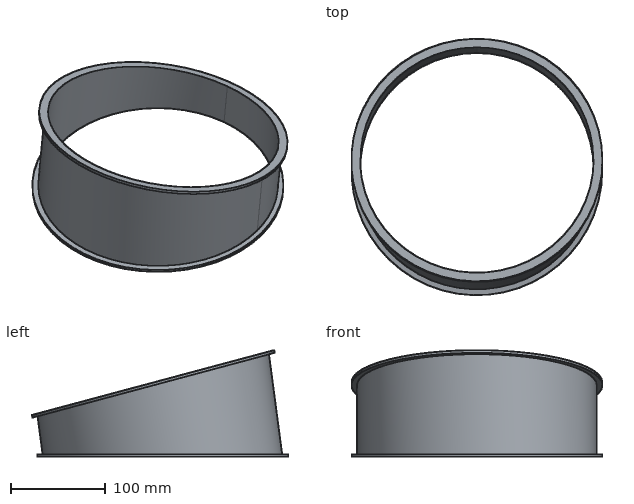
import cadquery as cq
import math

flange_diameter = 265.0
flange_thickness = 3.0
tube_outer_diameter = 253.0
tube_wall = 3.5
bend_angle = 15.0
bend_radius = 303.4

tube_inner_diameter = tube_outer_diameter - 2 * tube_wall

bend = math.radians(bend_angle)
top_center = (0, bend_radius * (1 - math.cos(bend)), bend_radius * math.sin(bend))
top_normal = (0, math.sin(bend), math.cos(bend))

bottom_plane = cq.Plane(origin=(0, 0, 0), xDir=(1, 0, 0), normal=(0, 0, 1))
top_plane = cq.Plane(origin=top_center, xDir=(1, 0, 0), normal=top_normal)


def end_circle(plane, diameter):
    """Circular wire lying in one of the end planes."""
    return cq.Wire.makeCircle(diameter / 2, plane.origin, plane.zDir)


def straight_sided_plug(diameter):
    """Solid that joins equal circles on both end faces with straight lines."""
    ends = [end_circle(bottom_plane, diameter), end_circle(top_plane, diameter)]
    return cq.Workplane(obj=cq.Solid.makeLoft(ends, True))


def flange(plane, thickness):
    """Flange disc grown along the plane normal; negative thickness grows backwards."""
    return cq.Workplane(plane).circle(flange_diameter / 2).extrude(thickness)


body = straight_sided_plug(tube_outer_diameter)
body = body.union(flange(bottom_plane, flange_thickness))
body = body.union(flange(top_plane, -flange_thickness))
result = body.cut(straight_sided_plug(tube_inner_diameter))